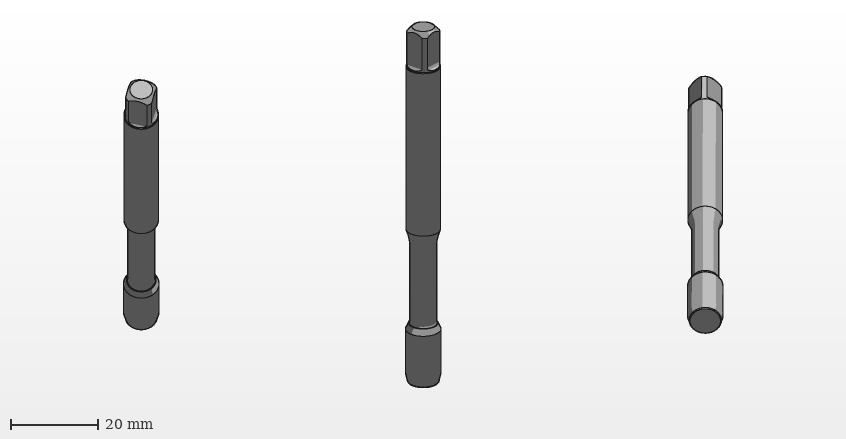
import cadquery as cq

total_length = 90.1
tip_chamfer_height = 0.3
lead_length = 2.2
cut_length = 13.3
body_split = 14.9
neck_bottom = 15.2
neck_top = 35.05
shank_bottom = 38.7
shank_top = 80.0
flat_bottom = 81.3

tip_diameter = 7.0
lead_diameter = 7.4
cut_diameter = 8.2
shoulder_diameter = 6.85
neck_base_diameter = 6.4
neck_diameter = 6.2
shank_diameter = 8.0
drive_diameter = 7.7
drive_end_diameter = 5.2

flare_radius = 14.4

drive_width = 6.2
runout_radius = 0.9

shank_chamfer = (shank_diameter - drive_diameter) / 2
drive_end_chamfer = (drive_diameter - drive_end_diameter) / 2


def revolve_profile(points):
    """Revolve (radius, height) points, closed along the Z axis."""
    bottom = points[0][1]
    top = points[-1][1]
    outline = [(0, bottom), *points, (0, top)]
    return cq.Workplane("XZ").polyline(outline).close().revolve(360, (0, 0), (0, 1))


def make_cutting_body():
    """Cutting body with a chamfered tip, a tapered lead and a conical shoulder."""
    return revolve_profile([
        (tip_diameter / 2, 0),
        (lead_diameter / 2, tip_chamfer_height),
        (cut_diameter / 2, lead_length),
        (cut_diameter / 2, cut_length),
        (shoulder_diameter / 2, body_split),
    ])


def make_flat_cutter():
    """Stock removed by one drive flat, with a curved runout at its lower end."""
    flat_offset = drive_width / 2
    runout_offset = flat_offset + runout_radius
    runout_bottom = flat_bottom - runout_radius
    outside = shank_diameter
    profile = (
        cq.Workplane("XZ")
        .moveTo(flat_offset, total_length)
        .lineTo(flat_offset, flat_bottom)
        .radiusArc((runout_offset, runout_bottom), -runout_radius)
        .lineTo(outside, runout_bottom)
        .lineTo(outside, total_length)
        .close()
    )
    return profile.extrude(outside, both=True)


def make_shank():
    """Neck flaring into the cylindrical shank, with a square drive at the top."""
    profile = (
        cq.Workplane("XZ")
        .moveTo(0, body_split)
        .lineTo(neck_base_diameter / 2, body_split)
        .lineTo(neck_diameter / 2, neck_bottom)
        .lineTo(neck_diameter / 2, neck_top)
        .radiusArc((shank_diameter / 2, shank_bottom), flare_radius)
        .lineTo(shank_diameter / 2, shank_top)
        .lineTo(drive_diameter / 2, shank_top + shank_chamfer)
        .lineTo(drive_diameter / 2, total_length - drive_end_chamfer)
        .lineTo(drive_end_diameter / 2, total_length)
        .lineTo(0, total_length)
        .close()
    )
    shank = profile.revolve(360, (0, 0), (0, 1))
    cutter = make_flat_cutter()
    for angle in range(0, 360, 90):
        shank = shank.cut(cutter.rotate((0, 0, 0), (0, 0, 1), angle))
    return shank


cutting_body = make_cutting_body()
shank = make_shank()
result = cq.Compound.makeCompound([cutting_body.val(), shank.val()])